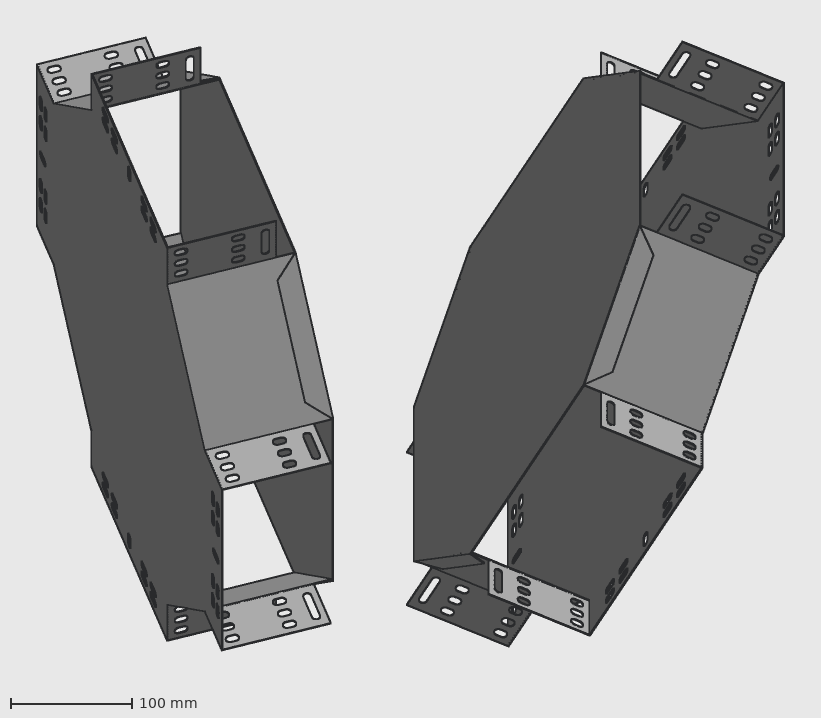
import cadquery as cq
import math


span = 491.5
total_depth = 111.5
sheet = 1.0

arm_width = 201.5
arm_length = 45.0
tab_height = 95.0

cover_span = 403.0
lip_depth = 20.0
lip_setback = 19.0

slot_width = 7.0
floor_slot_length = 15.0
floor_slot_offsets = (39.5, 63.5)
floor_slot_stations = (222.0, 234.5)
centre_slot_station = 229.5
tab_slot_station = 223.0
tab_slot_pitch = 13.5
tab_slot_length = 11.5
tab_slot_heights = (12.5, 62.0)
long_slot_length = 30.0
long_slot_height = 85.5

half_span = span / 2
half_arm = arm_width / 2
wall_end = half_span - arm_length
wall_height = total_depth - sheet
wall_sum = half_arm + wall_end
bend_angle = 45
bend_shift = sheet * math.tan(math.radians(bend_angle / 2))
cover_half = cover_span / 2
cover_corner = wall_sum + sheet * math.sqrt(2) - cover_half
quarter_turns = (0, 90, 180, 270)


def plate(points, base, height):
    """Prism on an outline of (x, z) points, from Y = base up by height."""
    return cq.Workplane("XZ", origin=(0, base, 0)).polyline(points).close().extrude(-height)


def turned(shape, angle):
    """Copy of a shape turned about the Y axis through the centre of the crossing."""
    return shape.rotate((0, 0, 0), (0, 1, 0), angle)


def four_corners(corner):
    """Closed outline that repeats the points of the +X +Z corner in all four corners."""
    right_side = corner + [(x, -z) for x, z in reversed(corner)]
    left_side = [(-x, -z) for x, z in right_side]
    return right_side + left_side


def floor_plate():
    """Cross-shaped floor with diagonal edges between neighbouring arms."""
    corner = [(half_arm, half_span), (half_arm, wall_end), (wall_end, half_arm), (half_span, half_arm)]
    return plate(four_corners(corner), 0, sheet)


def side_wall():
    """Diagonal wall of the +X +Z corner with the arm tab at each of its ends."""
    inner_end = wall_end - bend_shift
    inner_arm = half_arm - sheet
    upper_bend = [(half_arm, wall_end), (inner_arm, inner_end)]
    right_bend = [(inner_end, inner_arm), (wall_end, half_arm)]
    upper_tip = [(inner_arm, half_span), (half_arm, half_span)]
    right_tip = [(half_span, half_arm), (half_span, inner_arm)]
    diagonal = plate(upper_bend + right_bend, 0, wall_height)
    upper_tab = plate(upper_bend + upper_tip, 0, tab_height)
    right_tab = plate(right_bend + right_tip, 0, tab_height)
    return diagonal.union(upper_tab).union(right_tab)


def floor_slots():
    """Cutters for the slots in the floor of the +Z arm."""
    places = [
        (side * offset, station)
        for side in (-1, 1)
        for offset in floor_slot_offsets
        for station in floor_slot_stations
    ]
    floor = cq.Workplane("XZ")
    crosswise = floor.pushPoints(places).slot2D(floor_slot_length, slot_width).extrude(-sheet)
    centre = floor.center(0, centre_slot_station)
    lengthwise = centre.slot2D(floor_slot_length, slot_width, 90).extrude(-sheet)
    return crosswise.add(lengthwise).combine()


def tab_slots():
    """Cutters for the slots in both tabs of the +Z arm; each passes through both tabs."""
    places = [
        (height, tab_slot_station + step * tab_slot_pitch)
        for height in tab_slot_heights
        for step in (-1, 0, 1)
    ]
    middle = cq.Workplane("YZ")
    short = middle.pushPoints(places).slot2D(tab_slot_length, slot_width).extrude(half_arm, both=True)
    long = (
        middle.center(long_slot_height, tab_slot_station)
        .slot2D(long_slot_length, slot_width, 90)
        .extrude(half_arm, both=True)
    )
    return short.add(long).combine()


def make_tray():
    """Floor, four diagonal walls with their tabs, and the slots of all four arms."""
    tray = floor_plate()
    for angle in quarter_turns:
        tray = tray.union(turned(side_wall(), angle))
    for angle in quarter_turns:
        tray = tray.cut(turned(floor_slots(), angle)).cut(turned(tab_slots(), angle))
    return tray


def cover_lip():
    """Trapezoidal lip lying on the outside of the +X +Z diagonal wall."""
    half_edge = (cover_half - cover_corner) / math.sqrt(2)
    free_half = half_edge - lip_setback
    wall_face = cq.Plane(
        origin=(wall_sum / 2, total_depth, wall_sum / 2),
        xDir=(1, 0, -1),
        normal=(1, 0, 1),
    )
    outline = [(-half_edge, 0), (half_edge, 0), (free_half, -lip_depth), (-free_half, -lip_depth)]
    return cq.Workplane(wall_face).polyline(outline).close().extrude(sheet)


def make_cover():
    """Octagonal plate with a lip along each diagonal edge."""
    corner = [(cover_corner, cover_half), (cover_half, cover_corner)]
    cover = plate(four_corners(corner), wall_height, sheet)
    for angle in quarter_turns:
        cover = cover.union(turned(cover_lip(), angle))
    return cover


tray = make_tray()
cover = make_cover()

result = cq.Compound.makeCompound([tray.solids().val(), cover.solids().val()])